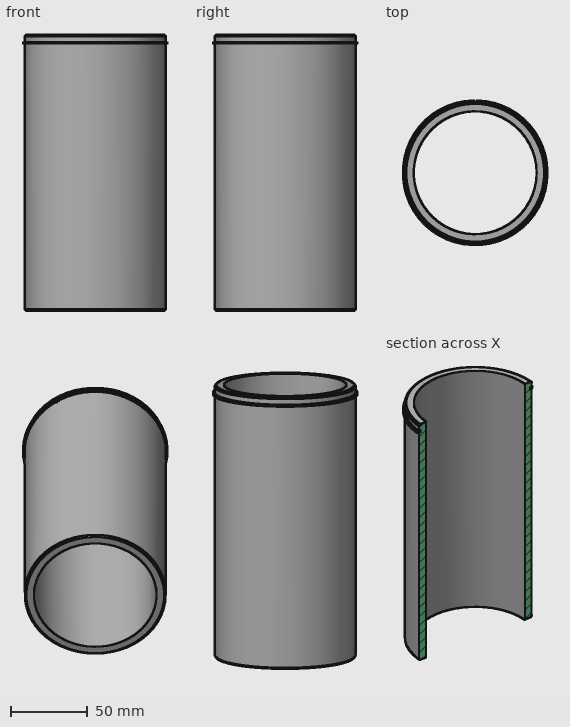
import cadquery as cq

length = 180.0
outer_diameter = 92.0
bore_diameter = 80.0
chamfer = 1.0

ring_outer_diameter = 94.3
ring_thickness = 0.7
groove_height = 1.0
groove_top_depth = 4.9
ring_gap = 1.6
groove_depth = 1.5

outer_radius = outer_diameter / 2
groove_diameter = outer_diameter - 2 * groove_depth
groove_bottom = length - groove_top_depth - groove_height


def flat_ring(height):
    """Full annulus standing on the lower wall of the groove."""
    return (
        cq.Workplane("XY", origin=(0, 0, groove_bottom))
        .circle(ring_outer_diameter / 2)
        .circle(groove_diameter / 2)
        .extrude(height)
    )


def make_sleeve():
    """Tube with chamfered outer rims and a snap ring groove near the top."""
    rim_radius = outer_radius - chamfer
    bore_radius = bore_diameter / 2
    tube = (
        cq.Workplane("XZ")
        .moveTo(bore_radius, 0)
        .lineTo(rim_radius, 0)
        .lineTo(outer_radius, chamfer)
        .lineTo(outer_radius, length - chamfer)
        .lineTo(rim_radius, length)
        .lineTo(bore_radius, length)
        .close()
        .revolve(360, (0, 0, 0), (0, 1, 0))
    )
    return tube.cut(flat_ring(groove_height))


def make_snap_ring():
    """Ring resting in the groove with clearance above, split by a narrow gap on the +Y side."""
    gap = (
        cq.Workplane("XY", origin=(0, 0, groove_bottom))
        .rect(ring_gap, ring_outer_diameter)
        .extrude(ring_thickness)
        .translate((0, ring_outer_diameter / 2, 0))
    )
    return flat_ring(ring_thickness).cut(gap)


sleeve = make_sleeve()
snap_ring = make_snap_ring()

result = cq.Compound.makeCompound([sleeve.val(), snap_ring.val()])